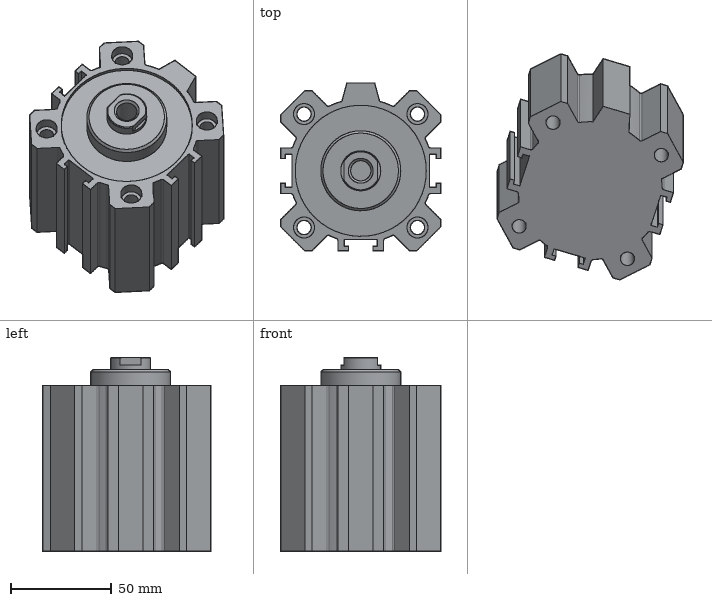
import cadquery as cq
import math

total_height = 97.0
housing_width = 80.0
housing_height = 82.9
half_width = housing_width / 2

body_radius = 36.0
lobe_outer_offset = 27.9
lobe_inner_offset = 24.3
lobe_root = 14.55
key_tip_y = 43.9
key_tip_half = 7.0
key_root_half = 9.4
key_root_y = 34.9
lobe_root_fillet = 1.0
rail_half = 11.4
rail_root_fillet = 1.2

slot_half = 8.1
slot_mouth_half = 6.1
slot_floor = 34.3
lip_thickness = 2.3
slot_angles = (0, 180, 270)

mount_offset = 28.3
mount_diameter = 7.0
counterbore_diameter = 10.5
counterbore_depth = 6.8

recess_diameter = 65.5
recess_depth = 2.0
collar_diameter = 40.0
collar_height = 8.0
collar_chamfer = 1.2

rod_diameter = 20.0
rod_length = 58.2
rod_chamfer = 0.5
rod_bottom = total_height - rod_length
flat_width = 17.0
flat_height = 4.0
rod_hole_diameter = 10.1
rod_hole_depth = 19.4
rod_hole_chamfer = 1.2


def extrude_outline(points):
    """Prism of full housing height over a closed outline."""
    return cq.Workplane("XY").polyline(points).close().extrude(housing_height)


def make_lobe():
    """Corner lobe in the +X +Y quadrant, with 45 degree sides and clipped tips."""
    root_drop = lobe_inner_offset - lobe_root
    return extrude_outline([
        (half_width, lobe_inner_offset),
        (half_width, lobe_outer_offset),
        (lobe_outer_offset, half_width),
        (lobe_inner_offset, half_width),
        (lobe_root, half_width - root_drop),
        (half_width - root_drop, lobe_root),
    ])


def make_key():
    """Tapered solid rib on the +Y side, buried in the round body at its root."""
    return extrude_outline([
        (-key_tip_half, key_tip_y),
        (key_tip_half, key_tip_y),
        (key_root_half, key_root_y),
        (0, 0),
        (-key_root_half, key_root_y),
    ])


def make_rail_block():
    """Block on the +X side that a T-slot turns into two rails."""
    return cq.Workplane("XY").box(
        half_width, 2 * rail_half, housing_height, centered=(False, True, False)
    )


def make_slot():
    """T-slot cutter on the +X side."""
    lip_inner = half_width - lip_thickness
    return extrude_outline([
        (slot_floor, -slot_half),
        (lip_inner, -slot_half),
        (lip_inner, -slot_mouth_half),
        (half_width, -slot_mouth_half),
        (half_width, slot_mouth_half),
        (lip_inner, slot_mouth_half),
        (lip_inner, slot_half),
        (slot_floor, slot_half),
    ])


def turned(shape, angle):
    """Copy of a shape turned about the housing axis."""
    return shape.rotate((0, 0, 0), (0, 0, 1), angle)


def make_rod():
    """Rod with two wrench flats and a countersunk blind hole in its end."""
    rod = (
        cq.Workplane("XY").workplane(offset=rod_bottom)
        .circle(rod_diameter / 2).extrude(rod_length)
        .faces(">Z").chamfer(rod_chamfer)
    )
    head_band = cq.Workplane("XY").workplane(offset=total_height - flat_height)
    flats = (
        head_band.rect(2 * rod_diameter, 2 * rod_diameter)
        .rect(flat_width, 2 * rod_diameter).extrude(flat_height)
    )
    rod = rod.cut(flats)
    hole_rim = rod_hole_diameter / 2 + rod_hole_chamfer
    hole = (
        cq.Workplane("XZ")
        .polyline([
            (0, total_height),
            (hole_rim, total_height),
            (rod_hole_diameter / 2, total_height - rod_hole_chamfer),
            (rod_hole_diameter / 2, total_height - rod_hole_depth),
            (0, total_height - rod_hole_depth),
        ])
        .close().revolve()
    )
    return rod.cut(hole)


def add_to_round_body(housing, arm, center_angles, turn_angles, arm_half, fillet_radius):
    """Add turned copies of an arm and round the corners where its sides leave the round body."""
    for angle in turn_angles:
        housing = housing.union(turned(arm, angle))
    corner_angle = math.degrees(math.asin(arm_half / body_radius))
    for center in center_angles:
        for side in (-1, 1):
            direction = math.radians(center + side * corner_angle)
            corner = (
                body_radius * math.cos(direction),
                body_radius * math.sin(direction),
                housing_height / 2,
            )
            nearest = cq.selectors.NearestToPointSelector(corner)
            housing = housing.edges("|Z").edges(nearest).fillet(fillet_radius)
    return housing


def add_lobes(housing):
    lobe_half = (half_width - lobe_inner_offset) / math.sqrt(2)
    turn_angles = (0, 90, 180, 270)
    center_angles = [angle + 45 for angle in turn_angles]
    return add_to_round_body(
        housing, make_lobe(), center_angles, turn_angles, lobe_half, lobe_root_fillet
    )


def add_rails(housing):
    return add_to_round_body(
        housing, make_rail_block(), slot_angles, slot_angles, rail_half, rail_root_fillet
    )


def make_housing():
    """Extruded housing with its guide collar and the blind bore that holds the rod."""
    housing = cq.Workplane("XY").circle(body_radius).extrude(housing_height)
    housing = add_rails(housing)
    housing = housing.union(make_key())
    housing = add_lobes(housing)
    for angle in slot_angles:
        housing = housing.cut(turned(make_slot(), angle))

    housing = (
        housing.faces(">Z").workplane(origin=(0, 0, housing_height))
        .rect(2 * mount_offset, 2 * mount_offset, forConstruction=True).vertices()
        .cboreHole(mount_diameter, counterbore_diameter, counterbore_depth)
    )

    recess_floor = cq.Workplane("XY").workplane(offset=housing_height - recess_depth)
    housing = housing.cut(recess_floor.circle(recess_diameter / 2).extrude(recess_depth))
    collar = (
        recess_floor.circle(collar_diameter / 2).extrude(recess_depth + collar_height)
        .faces(">Z").chamfer(collar_chamfer)
    )
    housing = housing.union(collar)

    rod_bore = (
        cq.Workplane("XY").workplane(offset=rod_bottom)
        .circle(rod_diameter / 2).extrude(rod_length)
    )
    return housing.cut(rod_bore)


housing = make_housing()
rod = make_rod()
result = cq.Compound.makeCompound([housing.val(), rod.val()])